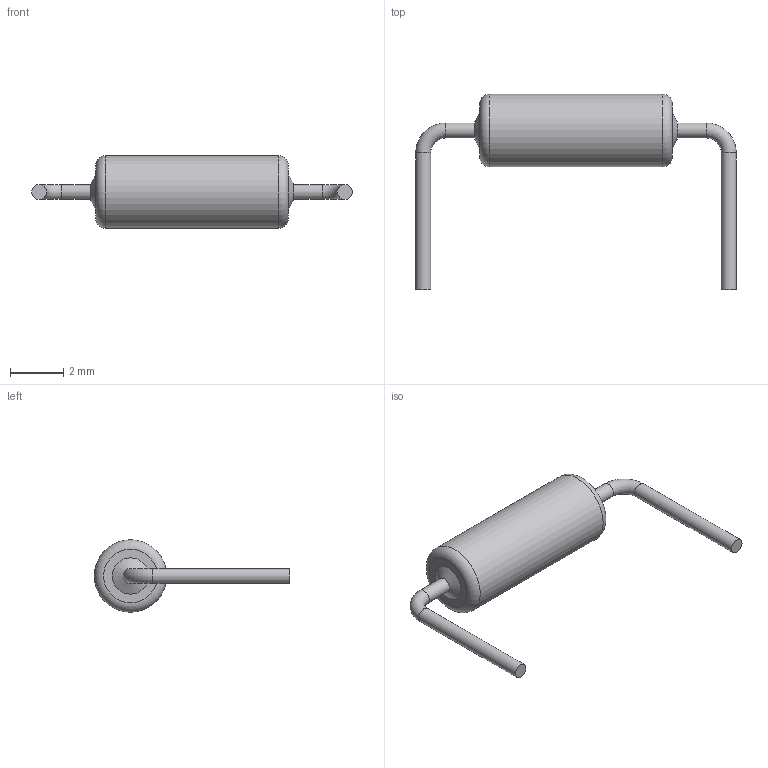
import cadquery as cq

body_diameter = 2.71
body_length = 7.2
body_edge_radius = 0.35

collar_base_diameter = 1.36
collar_length = 0.2

lead_diameter = 0.56
lead_pitch = 11.43
lead_bend_radius = 1.5 * lead_diameter
lead_reach = 5.955


def make_body():
    """Round body with rounded end edges."""
    return (
        cq.Workplane("YZ", origin=(-body_length / 2, 0, 0))
        .circle(body_diameter / 2)
        .extrude(body_length)
        .edges("%CIRCLE")
        .fillet(body_edge_radius)
    )


def make_collars():
    """Cones at both body ends, narrowing to the lead, as one turned piece."""
    face_x = body_length / 2
    tip_x = face_x + collar_length
    profile = [
        (-tip_x, 0),
        (-tip_x, lead_diameter / 2),
        (-face_x, collar_base_diameter / 2),
        (face_x, collar_base_diameter / 2),
        (tip_x, lead_diameter / 2),
        (tip_x, 0),
    ]
    return cq.Workplane("XY").polyline(profile).close().revolve(360, (0, 0, 0), (1, 0, 0))


def make_leads():
    """One wire through the body axis, bent to -Y at both ends."""
    outer_x = lead_pitch / 2
    bend_start_x = outer_x - lead_bend_radius
    path = (
        cq.Workplane("XY")
        .moveTo(-outer_x, -lead_reach)
        .lineTo(-outer_x, -lead_bend_radius)
        .tangentArcPoint((-bend_start_x, 0), relative=False)
        .lineTo(bend_start_x, 0)
        .tangentArcPoint((outer_x, -lead_bend_radius), relative=False)
        .lineTo(outer_x, -lead_reach)
    )
    return (
        cq.Workplane("XZ", origin=(-outer_x, -lead_reach, 0))
        .circle(lead_diameter / 2)
        .sweep(path)
    )


result = make_body().union(make_collars()).union(make_leads())